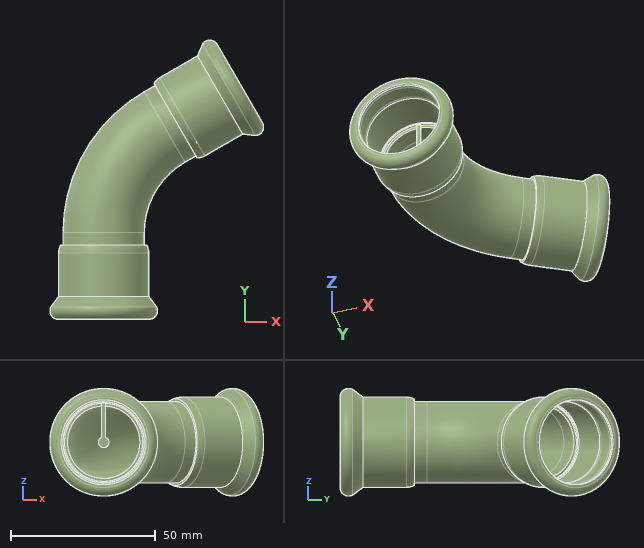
import cadquery as cq
import math

BEND_ANGLE = 60.0
BEND_RADIUS = 42.1
PIPE_OUTER_RADIUS = 14.1
PIPE_BORE_RADIUS = 25.0 / 2

LEG_LENGTH = 30.0
SOCKET_LENGTH = 25.7
SOCKET_OUTER_RADIUS = 31.3 / 2
SOCKET_BORE_RADIUS = 28.0 / 2
SHOULDER_START = 23.0
SHOULDER_END_RADIUS = 14.95
SHOULDER_MIDDLE_RADIUS = 15.4
STOP_RADIUS = 27.0 / 2
STOP_STEP_DEPTH = 22.2
STOP_DEPTH = 23.15

BEAD_RADIUS = 3.0
BEAD_CENTRE_RADIUS = SOCKET_OUTER_RADIUS
CONE_END_DEPTH = 7.9
LIP_RADIUS = 14.7
LIP_DEPTH = 1.0

SEAL_MOUTH_RADIUS = 28.8 / 2
SEAL_BORE_RADIUS = 28.2 / 2
SEAL_LEAD_IN_DEPTH = 1.8
SEAL_BORE_END_DEPTH = 6.9
SEAL_END_DEPTH = 7.8
SEAL_OUTER_RADIUS = 17.1
SEAL_OUTER_START_DEPTH = 1.5
SEAL_OUTER_END_DEPTH = 4.4

POINTER_DISC_RADIUS = 1.8
POINTER_STRIP_WIDTH = 1.35
POINTER_THICKNESS = 0.5


def revolve_about_y(profile):
    """Close a profile of (radius, depth) points and turn it about the Y axis."""
    return profile.close().revolve(360, (0, 0, 0), (0, 1, 0))


def place_at_far_end(body):
    """Mirror a body of the first socket to the far one, in the plane that halves the bend."""
    half_angle = math.radians(BEND_ANGLE / 2)
    normal = cq.Vector(math.sin(half_angle), math.cos(half_angle), 0)
    bend_centre = cq.Vector(BEND_RADIUS, LEG_LENGTH, 0)
    return body.mirror(normal, bend_centre)


def make_leg_outside():
    """Bead, cone, socket wall, rounded shoulder and straight pipe, all solid."""
    cone_run = CONE_END_DEPTH - BEAD_RADIUS
    tangent_angle = 2 * math.atan2(BEAD_RADIUS, cone_run)
    normal_angle = math.pi / 2 - tangent_angle

    def bead_point(angle):
        return (
            BEAD_CENTRE_RADIUS + BEAD_RADIUS * math.cos(angle),
            BEAD_RADIUS + BEAD_RADIUS * math.sin(angle),
        )

    shoulder_middle = (SHOULDER_MIDDLE_RADIUS, (SHOULDER_START + SOCKET_LENGTH) / 2)
    profile = (
        cq.Workplane("XY")
        .lineTo(BEAD_CENTRE_RADIUS, 0)
        .threePointArc(bead_point(0), bead_point(normal_angle))
        .lineTo(SOCKET_OUTER_RADIUS, CONE_END_DEPTH)
        .lineTo(SOCKET_OUTER_RADIUS, SHOULDER_START)
        .threePointArc(shoulder_middle, (SHOULDER_END_RADIUS, SOCKET_LENGTH))
        .lineTo(PIPE_OUTER_RADIUS, SOCKET_LENGTH)
        .lineTo(PIPE_OUTER_RADIUS, LEG_LENGTH)
        .lineTo(0, LEG_LENGTH)
    )
    return revolve_about_y(profile)


def make_leg_bore():
    """Hole from the lip, along the inside of the seal and over the steps of the stop to the pipe bore."""
    profile = (
        cq.Workplane("XY")
        .lineTo(LIP_RADIUS, 0)
        .lineTo(LIP_RADIUS, LIP_DEPTH)
        .lineTo(SEAL_MOUTH_RADIUS, SEAL_LEAD_IN_DEPTH)
        .lineTo(SEAL_BORE_RADIUS, SEAL_BORE_END_DEPTH)
        .lineTo(SOCKET_BORE_RADIUS, SEAL_END_DEPTH)
        .lineTo(SOCKET_BORE_RADIUS, STOP_STEP_DEPTH)
        .lineTo(STOP_RADIUS, STOP_STEP_DEPTH)
        .lineTo(STOP_RADIUS, STOP_DEPTH)
        .lineTo(PIPE_BORE_RADIUS, STOP_DEPTH)
        .lineTo(PIPE_BORE_RADIUS, LEG_LENGTH)
        .lineTo(0, LEG_LENGTH)
    )
    return revolve_about_y(profile)


def make_seal():
    """Ring filling the bead, with a lead-in and a slightly conical bore."""
    profile = (
        cq.Workplane("XY")
        .moveTo(LIP_RADIUS, LIP_DEPTH)
        .lineTo(SEAL_OUTER_RADIUS, SEAL_OUTER_START_DEPTH)
        .lineTo(SEAL_OUTER_RADIUS, SEAL_OUTER_END_DEPTH)
        .lineTo(SOCKET_BORE_RADIUS, SEAL_END_DEPTH)
        .lineTo(SEAL_BORE_RADIUS, SEAL_BORE_END_DEPTH)
        .lineTo(SEAL_MOUTH_RADIUS, SEAL_LEAD_IN_DEPTH)
    )
    return revolve_about_y(profile)


def make_bend(radius):
    """Solid round bar along the bend."""
    return (
        cq.Workplane("XZ", origin=(0, LEG_LENGTH, 0))
        .circle(radius)
        .revolve(BEND_ANGLE, (BEND_RADIUS, 0, 0), (BEND_RADIUS, -1, 0))
    )


def make_pointer():
    """Disc on the axis and strip reaching the wall above it, in front of the stop."""
    face = cq.Workplane("XZ", origin=(0, STOP_DEPTH, 0))
    disc = face.circle(POINTER_DISC_RADIUS).extrude(POINTER_THICKNESS)
    strip = (
        face.center(0, STOP_RADIUS / 2)
        .rect(POINTER_STRIP_WIDTH, STOP_RADIUS)
        .extrude(POINTER_THICKNESS)
    )
    return disc.union(strip)


def make_housing(seals):
    """Bent pipe with a socket at each end, hollowed to take the seals."""
    outside = make_bend(PIPE_OUTER_RADIUS)
    inside = make_bend(PIPE_BORE_RADIUS)
    leg_outside = make_leg_outside()
    leg_bore = make_leg_bore()
    outside = outside.union(leg_outside).union(place_at_far_end(leg_outside))
    inside = inside.union(leg_bore).union(place_at_far_end(leg_bore))
    housing = outside.cut(inside)
    for seal in seals:
        housing = housing.cut(seal)
    return housing.union(make_pointer())


first_seal = make_seal()
seals = [first_seal, place_at_far_end(first_seal)]
housing = make_housing(seals)

result = cq.Compound.makeCompound([*housing.solids().vals(), *[seal.val() for seal in seals]])